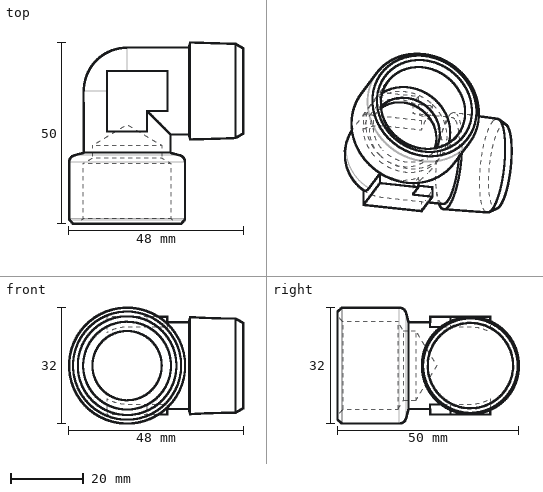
import cadquery as cq
import math

body_radius = 12.0
shoulder_distance = 17.0
shoulder_angle = math.radians(15)

socket_radius = 16.0
socket_end = 36.55
shoulder_fillet = 2.0
rim_chamfer_width = 1.1
rim_chamfer_length = 1.25
rim_fillet = 0.5

bore_radius = 12.1
mouth_radius = 13.6
mouth_depth = 1.5
bore_end = 20.0
pilot_radius = 9.55
pilot_end = 15.0
drill_half_angle = math.radians(59)

male_end = 32.0
male_root_radius = 13.4
male_taper_end = 29.75
male_tip_radius = 11.75
taper_on_radius = 1 / 32

pad_half_width = 5.5
pad_reach = 11.1
pad_height = 13.5


def revolve_leg(profile):
    """Revolve an open half-profile in the XY plane about the Y axis."""
    return profile.close().revolve(360, (0, 0, 0), (0, 1, 0))


def make_elbow():
    socket_leg = cq.Workplane("XZ").circle(body_radius).extrude(shoulder_distance)
    male_leg = cq.Workplane("YZ").circle(body_radius).extrude(shoulder_distance)
    corner = cq.Workplane("XY").sphere(body_radius)
    return socket_leg.union(male_leg).union(corner)


def make_socket():
    shoulder_rise = (socket_radius - body_radius) * math.tan(shoulder_angle)
    profile = (
        cq.Workplane("XY")
        .moveTo(0, -shoulder_distance)
        .lineTo(body_radius, -shoulder_distance)
        .lineTo(socket_radius, -shoulder_distance - shoulder_rise)
        .lineTo(socket_radius, -socket_end + rim_chamfer_length)
        .lineTo(socket_radius - rim_chamfer_width, -socket_end)
        .lineTo(0, -socket_end)
    )
    socket = revolve_leg(profile)
    shoulder_y = -shoulder_distance - shoulder_rise
    rim_y = -socket_end + rim_chamfer_length
    socket = socket.edges(ring_at(shoulder_y)).fillet(shoulder_fillet)
    return socket.edges(ring_at(rim_y)).fillet(rim_fillet)


def ring_at(y):
    """Selector for circular edges centred at y on the socket axis."""
    slab = 0.05
    low = (-socket_radius, y - slab, -socket_radius)
    high = (socket_radius, y + slab, socket_radius)
    return cq.selectors.BoxSelector(low, high)


def make_bore():
    shelf_y = -bore_end + (bore_radius - pilot_radius) / math.tan(drill_half_angle)
    tip_y = -pilot_end + pilot_radius / math.tan(drill_half_angle)
    return revolve_leg(
        cq.Workplane("XY")
        .moveTo(0, -socket_end)
        .lineTo(mouth_radius, -socket_end)
        .lineTo(bore_radius, -socket_end + mouth_depth)
        .lineTo(bore_radius, -bore_end)
        .lineTo(pilot_radius, shelf_y)
        .lineTo(pilot_radius, -pilot_end)
        .lineTo(0, tip_y)
    )


def make_male_end():
    root_x = shoulder_distance + (male_root_radius - body_radius) * math.tan(shoulder_angle)
    taper_drop = (male_taper_end - root_x) * taper_on_radius
    return (
        cq.Workplane("XY")
        .moveTo(shoulder_distance, 0)
        .lineTo(shoulder_distance, body_radius)
        .lineTo(root_x, male_root_radius)
        .lineTo(male_taper_end, male_root_radius - taper_drop)
        .lineTo(male_end, male_tip_radius)
        .lineTo(male_end, 0)
        .close()
        .revolve(360, (0, 0, 0), (1, 0, 0))
    )


def make_pads():
    outline = [
        (-pad_half_width, pad_half_width),
        (pad_reach, pad_half_width),
        (pad_reach, -pad_half_width),
        (pad_half_width, -pad_half_width),
        (pad_half_width, -pad_reach),
        (-pad_half_width, -pad_reach),
    ]
    return cq.Workplane("XY").polyline(outline).close().extrude(pad_height, both=True)


result = make_elbow().union(make_socket()).union(make_male_end()).union(make_pads()).cut(make_bore())